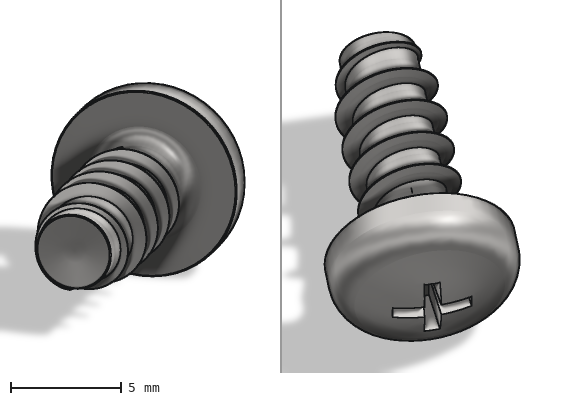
import cadquery as cq
import math


total_length = 14.45
head_diameter = 8.8
head_height = 3.45
tip_z = head_height - total_length

head_radius = head_diameter / 2
rim_height = 1.04
rim_chamfer = 0.06
dome_radius = 7.2
dome_edge_radius = 3.47

recess_span = 3.7
recess_width = 0.78
recess_depth = 2.02
recess_taper = 6.0
recess_clearance = 0.05

neck_radius = 2.0
neck_fillet = 0.72
neck_end_z = -1.27
neck_cone_length = 0.8
head_overlap = 0.15

root_radius = 1.76
tip_chamfer = 0.06
tip_cone_radius = 1.63
tip_cone_depth = 0.16

crest_radius = 2.5
crest_half_width = 0.03
thread_length = 9.9
thread_turns = 5.5
pitch = thread_length / thread_turns
tip_fade_turns = 1.5
head_fade_turns = 1.0
full_turns = thread_turns - tip_fade_turns - head_fade_turns
tip_fade_drop = 0.66
head_fade_drop = 0.36
thread_start_angle = 90.0
head_run_out_turns = 0.95

flank_knee_rise = 0.17
flank_knee_radius = 2.08
flank_root_rise = 0.35
lower_flank_drop = 0.19
shoulder_radius = 1.91
shoulder_length = 0.9
shoulder_fade_drop = 0.13
buried_depth = 0.8
shoulder_overrun = 0.15


def make_head():
    """Domed head with a rounded side and a short cylindrical rim."""
    recess_corner_r = recess_width / math.sqrt(2)
    dome_centre_z = head_height - math.sqrt(dome_radius**2 - recess_corner_r**2)
    dome_edge_z = dome_centre_z + math.sqrt(dome_radius**2 - dome_edge_radius**2)
    dome_mid_r = dome_edge_radius / 2
    dome_mid_z = dome_centre_z + math.sqrt(dome_radius**2 - dome_mid_r**2)
    profile = (
        cq.Workplane("XZ")
        .lineTo(head_radius - rim_chamfer, 0)
        .lineTo(head_radius, rim_chamfer)
        .lineTo(head_radius, rim_height)
        .tangentArcPoint((dome_edge_radius, dome_edge_z), relative=False)
        .threePointArc((dome_mid_r, dome_mid_z), (0, dome_centre_z + dome_radius))
        .close()
    )
    return profile.revolve(360, (0, 0), (0, 1))


def make_shank():
    """Filleted neck, cone down to the thread root, and straight core."""
    fillet_mid = neck_fillet * (1 - math.sqrt(0.5))
    profile = (
        cq.Workplane("XZ")
        .moveTo(0, head_overlap)
        .lineTo(neck_radius + neck_fillet, head_overlap)
        .lineTo(neck_radius + neck_fillet, 0)
        .threePointArc((neck_radius + fillet_mid, -fillet_mid), (neck_radius, -neck_fillet))
        .lineTo(neck_radius, neck_end_z)
        .lineTo(root_radius, neck_end_z - neck_cone_length)
        .lineTo(root_radius, tip_z)
        .lineTo(0, tip_z)
        .close()
    )
    return profile.revolve(360, (0, 0), (0, 1))


def helical_edge(radius, z, turns, radius_gain):
    """Helix climbing from z whose radius grows steadily by radius_gain."""
    rise = turns * pitch
    if radius_gain == 0:
        return cq.Wire.makeHelix(pitch, rise, radius).translate(cq.Vector(0, 0, z))
    cone_angle = math.atan2(radius_gain, rise)
    slope = 1 / math.cos(cone_angle)
    helix = cq.Wire.makeHelix(pitch * slope, rise * slope, radius, angle=math.degrees(cone_angle))
    return helix.translate(cq.Vector(0, 0, z))


def helical_bar(section, first_turn, turns, drop_start=0.0, drop_end=0.0):
    """Solid swept by a closed (radius, z) section along the thread.

    The section is sunk towards the axis by drop_start at its lower end and by
    drop_end at its upper end, so a thread can fade into the core.
    """
    base_z = tip_z + first_turn * pitch
    gain = drop_start - drop_end
    edges = [helical_edge(r - drop_start, base_z + z, turns, gain) for r, z in section]
    faces = []
    for edge, next_edge in zip(edges, edges[1:] + edges[:1]):
        faces.append(cq.Face.makeRuledSurface(edge, next_edge))
    for drop, rise, angle in ((drop_start, 0, 0), (drop_end, turns * pitch, 360 * turns)):
        corners = [cq.Vector(r - drop, 0, base_z + z + rise) for r, z in section]
        cap = cq.Face.makeFromWires(cq.Wire.makePolygon(corners, close=True))
        faces.append(cap.rotate(cq.Vector(), cq.Vector(0, 0, 1), angle))
    bar = cq.Solid.makeSolid(cq.Shell.makeShell(faces))
    return bar.rotate(cq.Vector(), cq.Vector(0, 0, 1), thread_start_angle + 360 * first_turn)


def thread_parts():
    """Sharp ridge and the sloping shoulder below it, each in lengths that fade or run full."""
    buried_radius = root_radius - buried_depth
    ridge = [
        (buried_radius, flank_root_rise),
        (root_radius, flank_root_rise),
        (flank_knee_radius, flank_knee_rise),
        (crest_radius, crest_half_width),
        (crest_radius, -crest_half_width),
        (shoulder_radius, -lower_flank_drop),
        (buried_radius, -lower_flank_drop),
    ]
    shoulder_slope = (shoulder_radius - root_radius) / shoulder_length
    shoulder_end = -lower_flank_drop - shoulder_length - shoulder_overrun
    shoulder = [
        (buried_radius, 0),
        (shoulder_radius + shoulder_slope * lower_flank_drop, 0),
        (root_radius - shoulder_slope * shoulder_overrun, shoulder_end),
        (buried_radius, shoulder_end),
    ]
    upper_turn = tip_fade_turns + full_turns
    run_out = head_run_out_turns
    return [
        helical_bar(shoulder, 0, tip_fade_turns, drop_start=shoulder_fade_drop),
        helical_bar(shoulder, tip_fade_turns, full_turns + head_fade_turns),
        helical_bar(ridge, 0, tip_fade_turns, drop_start=tip_fade_drop),
        helical_bar(ridge, tip_fade_turns, full_turns),
        helical_bar(ridge, upper_turn, run_out, drop_end=head_fade_drop * run_out),
    ]


def make_recess():
    """Cross recess whose two slots narrow with depth."""
    cut_depth = recess_depth + recess_clearance
    slots = cq.Workplane()
    for length, width in ((recess_span, recess_width), (recess_width, recess_span)):
        slot = cq.Workplane().rect(length, width).extrude(-cut_depth, taper=recess_taper)
        slots = slots.union(slot)
    return slots.translate((0, 0, head_height + recess_clearance))


def make_tip_cutter():
    """Everything beyond the chamfered tip, plus the shallow cone that hollows it."""
    profile = (
        cq.Workplane("XZ")
        .moveTo(0, tip_z + tip_cone_depth)
        .lineTo(tip_cone_radius, tip_z)
        .lineTo(root_radius - tip_chamfer, tip_z)
        .lineTo(root_radius, tip_z + tip_chamfer)
        .lineTo(head_radius, tip_z + tip_chamfer)
        .lineTo(head_radius, tip_z - pitch)
        .lineTo(0, tip_z - pitch)
        .close()
    )
    return profile.revolve(360, (0, 0), (0, 1))


screw = make_shank()
for part in thread_parts():
    screw = screw.union(cq.Workplane(part))
screw = screw.union(make_head())
screw = screw.cut(make_recess())
screw = screw.cut(make_tip_cutter())
result = screw.rotate((0, 0, 0), (1, 0, 0), -90)